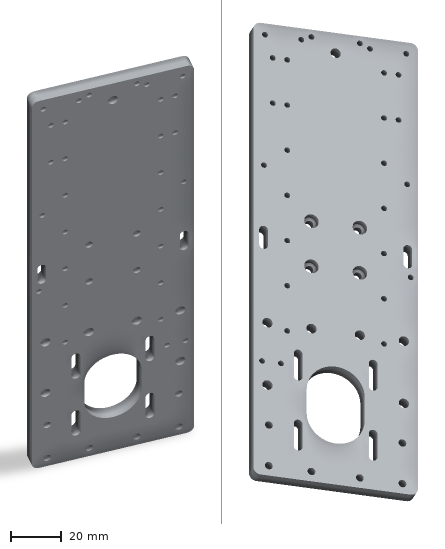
import cadquery as cq

THICKNESS = 6.0
WIDTH = 68.0
HEIGHT = 200.0
CORNER_RADIUS = 3.0

SMALL_HOLE = 2.5
SCREW_HOLE = 3.2
LARGE_HOLE = 4.2
COUNTERBORE = 6.0
COUNTERBORE_DEPTH = 3.0

GRID_PITCH = 20.0
GRID_ROWS = 7
GRID_HALF_WIDTH = 20.0
GRID_TOP_Z = 85.2
OUTER_GRID_ROWS = 2
OUTER_GRID_HALF_WIDTH = 26.0

SMALL_PAIRS = [(10.0, 96.8), (14.2, 95.0), (29.2, 95.0), (29.5, 37.2)]
SINGLE_SMALL_HOLES = [(-31.0, -3.8), (30.5, -49.5), (22.5, -49.5)]

TOP_HOLE_Z = 91.0
INNER_HALF_WIDTH = 10.0
LARGE_HALF_WIDTH = 28.2
LARGE_UPPER_Z = -32.5
LARGE_LOWER_Z = -60.0
SCREW_HALF_WIDTH = 27.5
SCREW_UPPER_Z = -77.5
SCREW_LOWER_Z = -95.5

COUNTERBORE_TOP_Z = GRID_TOP_Z - 3.5 * GRID_PITCH

SLOT_WIDTH = 3.5
EDGE_SLOT_LENGTH = 10.2
EDGE_SLOT_HALF_WIDTH = 29.8
EDGE_SLOT_Z = GRID_TOP_Z - 4 * GRID_PITCH

MOTOR_Z = -64.8
MOTOR_TRAVEL = 10.0
MOTOR_OPENING_WIDTH = 24.0
MOTOR_SCREW_SPACING = 31.0


def mirrored(half_width, z):
    """Two points placed symmetrically about the vertical centreline."""
    return [(-half_width, z), (half_width, z)]


def cut_holes(body, points, diameter, depth=THICKNESS):
    """Cut round holes inward from the -X face."""
    holes = (
        cq.Workplane("YZ", origin=(-THICKNESS / 2, 0, 0))
        .pushPoints(points)
        .circle(diameter / 2)
        .extrude(depth)
    )
    return body.cut(holes)


def cut_slots(body, points, length, width):
    """Cut vertical round-ended slots through the plate."""
    slots = (
        cq.Workplane("YZ", origin=(-THICKNESS / 2, 0, 0))
        .pushPoints(points)
        .slot2D(length, width, 90)
        .extrude(THICKNESS)
    )
    return body.cut(slots)


plate = cq.Workplane("XY").box(THICKNESS, WIDTH, HEIGHT).edges("|X").fillet(CORNER_RADIUS)

small_points = list(SINGLE_SMALL_HOLES)
for half_width, z in SMALL_PAIRS:
    small_points += mirrored(half_width, z)
for row in range(GRID_ROWS):
    row_z = GRID_TOP_Z - row * GRID_PITCH
    small_points += mirrored(GRID_HALF_WIDTH, row_z)
    if row < OUTER_GRID_ROWS:
        small_points += mirrored(OUTER_GRID_HALF_WIDTH, row_z)
plate = cut_holes(plate, small_points, SMALL_HOLE)

counterbore_points = mirrored(INNER_HALF_WIDTH, COUNTERBORE_TOP_Z)
counterbore_points += mirrored(INNER_HALF_WIDTH, COUNTERBORE_TOP_Z - GRID_PITCH)
plate = cut_holes(plate, counterbore_points, SCREW_HOLE)
plate = cut_holes(plate, counterbore_points, COUNTERBORE, COUNTERBORE_DEPTH)

screw_points = mirrored(SCREW_HALF_WIDTH, SCREW_UPPER_Z)
screw_points += mirrored(SCREW_HALF_WIDTH, SCREW_LOWER_Z)
screw_points += mirrored(INNER_HALF_WIDTH, SCREW_LOWER_Z)
plate = cut_holes(plate, screw_points, SCREW_HOLE)

large_points = [(0, TOP_HOLE_Z)]
large_points += mirrored(LARGE_HALF_WIDTH, LARGE_UPPER_Z)
large_points += mirrored(INNER_HALF_WIDTH, LARGE_UPPER_Z)
large_points += mirrored(LARGE_HALF_WIDTH, LARGE_LOWER_Z)
plate = cut_holes(plate, large_points, LARGE_HOLE)

plate = cut_slots(plate, mirrored(EDGE_SLOT_HALF_WIDTH, EDGE_SLOT_Z), EDGE_SLOT_LENGTH, SLOT_WIDTH)

motor_half_spacing = MOTOR_SCREW_SPACING / 2
motor_slot_points = mirrored(motor_half_spacing, MOTOR_Z + motor_half_spacing)
motor_slot_points += mirrored(motor_half_spacing, MOTOR_Z - motor_half_spacing)
plate = cut_slots(plate, motor_slot_points, SLOT_WIDTH + MOTOR_TRAVEL, SLOT_WIDTH)
plate = cut_slots(plate, [(0, MOTOR_Z)], MOTOR_OPENING_WIDTH + MOTOR_TRAVEL, MOTOR_OPENING_WIDTH)

result = plate